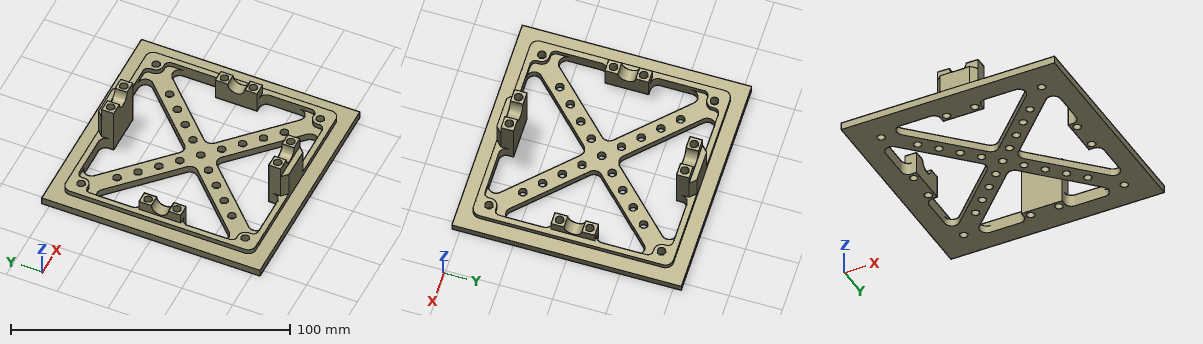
import cadquery as cq
import math

plate_side = 86
plate_thickness = 3.0
rim_side = 75.0
rim_top = 5.0
rim_corner_radius = 3.0
opening_side = 70.5

arm_width = 7.5
window_outer_radius = 2.8
window_inner_radius = 3.0

hole_diameter = 3.0
arm_hole_spacing = 8.0
holes_per_arm = 4
corner_hole_offset = 32.3

boss_reach = 2.8
boss_outer_radius = 2.9
boss_inner_radius = 2.0

post_width = 16.4
post_depth = 4.7
tall_post_top = 19.0
short_post_top = 9.0
post_hole_offset = 5.7
groove_radius = 3.35
root_fillet_radius = 2.75

rib_top = 15.05

half_opening = opening_side / 2
half_post = post_width / 2
rim_width = (rim_side - opening_side) / 2
quarter_turns = [0, 90, 180, 270]


def turned(body, angle):
    """Body turned about the vertical axis through the plate centre."""
    return body.rotate((0, 0, 0), (0, 0, 1), angle)


def make_window():
    """Triangular cutter between two arms, on the +Y side, through the plate."""
    apex = arm_width / math.sqrt(2)
    half_base = half_opening - apex
    window = (
        cq.Workplane("XY")
        .polyline([(0, apex), (half_base, half_opening), (-half_base, half_opening)])
        .close()
        .extrude(plate_thickness)
    )
    window = window.edges("|Z and (>X or <X)").fillet(window_outer_radius)
    return window.edges("|Z and <Y").fillet(window_inner_radius)


def make_plate():
    plate = cq.Workplane("XY").rect(plate_side, plate_side).extrude(plate_thickness)
    window = make_window()
    for angle in quarter_turns:
        plate = plate.cut(turned(window, angle))
    return plate


def make_rim():
    """Raised square rim whose opening steps around the four corner bosses."""
    height = rim_top - plate_thickness
    rim = (
        cq.Workplane("XY", origin=(0, 0, plate_thickness))
        .rect(rim_side, rim_side)
        .extrude(height)
        .edges("|Z")
        .fillet(rim_corner_radius)
    )
    boss_edge = corner_hole_offset - boss_reach
    y_bar = cq.Workplane("XY").rect(2 * boss_edge, opening_side).extrude(height)
    x_bar = cq.Workplane("XY").rect(opening_side, 2 * boss_edge).extrude(height)
    opening = y_bar.union(x_bar)
    opening = opening.edges("|Z and (not (>X or <X or >Y or <Y))").fillet(boss_outer_radius)
    opening = opening.edges("|Z and (>X or <X or >Y or <Y)").fillet(boss_inner_radius)
    return rim.cut(opening.translate((0, 0, plate_thickness)))


def make_post(top):
    """Post on the +Y side with a half-round groove and filleted roots."""
    post_centre = half_opening - post_depth / 2
    post = cq.Workplane("XY").center(0, post_centre).rect(post_width, post_depth).extrude(top)
    for side in (-1, 1):
        root = (
            cq.Workplane("XY")
            .moveTo(side * half_post, half_opening)
            .lineTo(side * (half_post + root_fillet_radius), half_opening)
            .radiusArc(
                (side * half_post, half_opening - root_fillet_radius),
                -side * root_fillet_radius,
            )
            .close()
            .extrude(rim_top)
        )
        post = post.union(root)
    groove = (
        cq.Workplane("XZ", origin=(0, half_opening, top))
        .circle(groove_radius)
        .extrude(post_depth)
    )
    holes = (
        cq.Workplane("XY")
        .pushPoints([(-post_hole_offset, post_centre), (post_hole_offset, post_centre)])
        .circle(hole_diameter / 2)
        .extrude(top)
    )
    return post.cut(groove).cut(holes)


def make_rib():
    """Rib on the rim behind the +Y post, narrowing outwards at 45 degrees."""
    rib_end = half_post - rim_width
    half_rim = rim_side / 2
    return (
        cq.Workplane("XY", origin=(0, 0, plate_thickness))
        .polyline(
            [
                (-half_post, half_opening),
                (half_post, half_opening),
                (rib_end, half_rim),
                (-rib_end, half_rim),
            ]
        )
        .close()
        .extrude(rib_top - plate_thickness)
    )


def make_screw_holes():
    """Hole cutters at the centre, along the arms and in the corner bosses."""
    step = arm_hole_spacing / math.sqrt(2)
    offsets = [step * (i + 1) for i in range(holes_per_arm)] + [corner_hole_offset]
    points = [(0, 0)]
    for offset in offsets:
        for x_side in (-1, 1):
            for y_side in (-1, 1):
                points.append((x_side * offset, y_side * offset))
    return cq.Workplane("XY").pushPoints(points).circle(hole_diameter / 2).extrude(rim_top)


result = make_plate().union(make_rim())

tall_post = make_post(tall_post_top).union(make_rib())
short_post = make_post(short_post_top)
for angle in (0, 180):
    result = result.union(turned(tall_post, angle))
    result = result.union(turned(short_post, angle + 90))

result = result.cut(make_screw_holes())